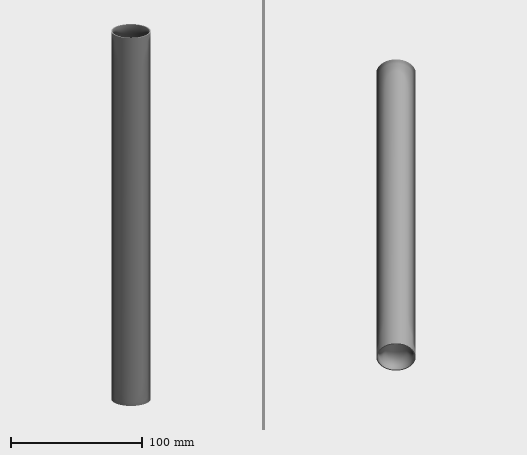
import cadquery as cq

outer_diameter = 30.0
wall_thickness = 1.0
length = 300.0

inner_diameter = outer_diameter - 2 * wall_thickness

result = (
    cq.Workplane("XY")
    .circle(outer_diameter / 2)
    .circle(inner_diameter / 2)
    .extrude(length)
)